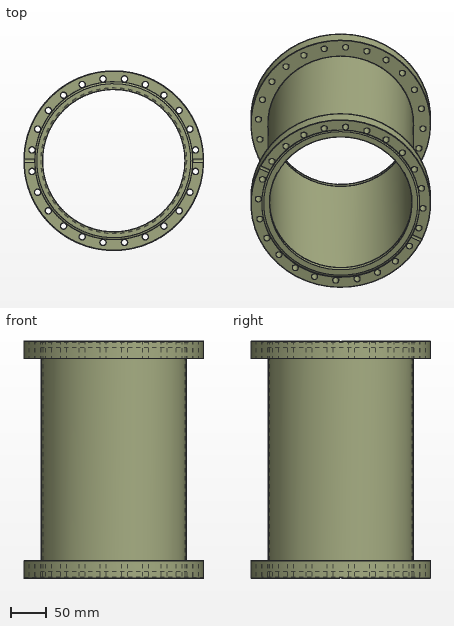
import cadquery as cq
import math

TOTAL_LENGTH = 334.0

TUBE_OUTER_DIAMETER = 204.5
TUBE_INNER_DIAMETER = 200.0

FLANGE_DIAMETER = 253.0
FLANGE_THICKNESS = 25.0
BORE_DIAMETER = 200.5
SOCKET_DIAMETER = TUBE_OUTER_DIAMETER
SHOULDER_DEPTH = 9.5
EDGE_CHAMFER = 0.5

RECESS_DIAMETER = 222.3
KNIFE_DIAMETER = 216.7
KNIFE_SLOPE_ANGLE = 20.0
LAND_DEPTH = 1.2

BOLT_COUNT = 24
BOLT_CIRCLE_DIAMETER = 231.9
BOLT_HOLE_DIAMETER = 8.5
BOLT_PITCH_ANGLE = 360.0 / BOLT_COUNT

GROOVE_WIDTH = 4.5
GROOVE_DEPTH = 1.0


def make_flange_ring():
    """Revolved flange with its outer (sealing) face at Z = 0 and its body below."""
    outer_radius = FLANGE_DIAMETER / 2
    recess_radius = RECESS_DIAMETER / 2
    knife_radius = KNIFE_DIAMETER / 2
    bore_radius = BORE_DIAMETER / 2
    socket_radius = SOCKET_DIAMETER / 2
    knife_slope_drop = (recess_radius - knife_radius) * math.tan(math.radians(KNIFE_SLOPE_ANGLE))
    return (
        cq.Workplane("XZ")
        .moveTo(outer_radius - EDGE_CHAMFER, -FLANGE_THICKNESS)
        .lineTo(outer_radius, -FLANGE_THICKNESS + EDGE_CHAMFER)
        .lineTo(outer_radius, -EDGE_CHAMFER)
        .lineTo(outer_radius - EDGE_CHAMFER, 0)
        .lineTo(recess_radius, 0)
        .lineTo(recess_radius, -LAND_DEPTH - knife_slope_drop)
        .lineTo(knife_radius, -LAND_DEPTH)
        .lineTo(bore_radius, -LAND_DEPTH)
        .lineTo(bore_radius, -SHOULDER_DEPTH)
        .lineTo(socket_radius, -SHOULDER_DEPTH)
        .lineTo(socket_radius, -FLANGE_THICKNESS + EDGE_CHAMFER)
        .lineTo(socket_radius + EDGE_CHAMFER, -FLANGE_THICKNESS)
        .close()
        .revolve(360, (0, 0, 0), (0, 1, 0))
    )


def make_bolt_holes():
    return (
        cq.Workplane("XY")
        .polarArray(BOLT_CIRCLE_DIAMETER / 2, BOLT_PITCH_ANGLE / 2, 360, BOLT_COUNT)
        .circle(BOLT_HOLE_DIAMETER / 2)
        .extrude(-FLANGE_THICKNESS)
    )


def make_leak_check_grooves():
    """One bar across the flange, cutting the face on both sides of the recess."""
    groove_radius = ((GROOVE_WIDTH / 2) ** 2 + GROOVE_DEPTH ** 2) / (2 * GROOVE_DEPTH)
    bar = (
        cq.Workplane("YZ", origin=(-FLANGE_DIAMETER / 2, 0, 0))
        .center(0, groove_radius - GROOVE_DEPTH)
        .circle(groove_radius)
        .extrude(FLANGE_DIAMETER)
    )
    recess_core = (
        cq.Workplane("XY", origin=(0, 0, -FLANGE_THICKNESS))
        .circle(RECESS_DIAMETER / 2)
        .extrude(2 * FLANGE_THICKNESS)
    )
    return bar.cut(recess_core)


def make_flange():
    return make_flange_ring().cut(make_bolt_holes()).cut(make_leak_check_grooves())


def make_tube():
    length = TOTAL_LENGTH - 2 * SHOULDER_DEPTH
    return (
        cq.Workplane("XY", origin=(0, 0, -length / 2))
        .circle(TUBE_OUTER_DIAMETER / 2)
        .circle(TUBE_INNER_DIAMETER / 2)
        .extrude(length)
    )


tube = make_tube()

flanges = []
for turn_angle in (0, 180):
    flange = make_flange().translate((0, 0, TOTAL_LENGTH / 2)).rotate((0, 0, 0), (1, 0, 0), turn_angle)
    flanges.append(flange)

result = cq.Compound.makeCompound([tube.val(), *[flange.val() for flange in flanges]])